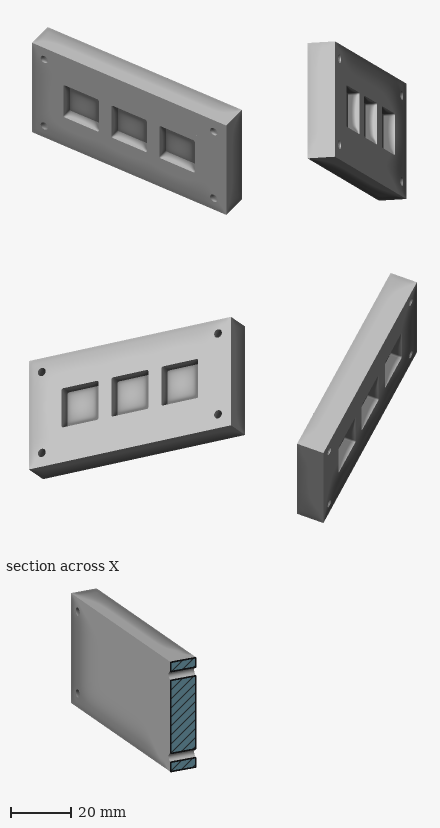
import cadquery as cq

length = 77.1
thickness = 9.6
height = 39.0

hole_diameter = 2.9
hole_spacing_x = 67.25
hole_spacing_z = 29.1

key_count = 3
key_pitch = 19.05
plate_length = 57.0
plate_height = 19.0
plate_depth = 4.0
window_size = 14.0
window_corner_radius = 0.6


def front_block(size_x, depth, size_z):
    """Block centred on X and Z, reaching from the front face to the given depth."""
    return cq.Workplane("XY").box(size_x, depth, size_z, centered=(True, False, True))


def make_housing():
    """Block with a recess for the key plate and four through holes."""
    recess = front_block(plate_length, plate_depth, plate_height)
    holes = (
        cq.Workplane("XZ")
        .rect(hole_spacing_x, hole_spacing_z, forConstruction=True)
        .vertices()
        .circle(hole_diameter / 2)
        .extrude(-thickness)
    )
    return front_block(length, thickness, height).cut(recess).cut(holes)


def make_key_plate():
    """Plate that fills the recess, with a row of rounded through windows."""
    plate = front_block(plate_length, plate_depth, plate_height)
    for index in range(key_count):
        centre_x = (index - (key_count - 1) / 2) * key_pitch
        window = (
            front_block(window_size, plate_depth, window_size)
            .edges("|Y")
            .fillet(window_corner_radius)
            .translate((centre_x, 0, 0))
        )
        plate = plate.cut(window)
    return plate


housing = make_housing()
key_plate = make_key_plate()

result = cq.Compound.makeCompound([housing.val(), key_plate.val()])